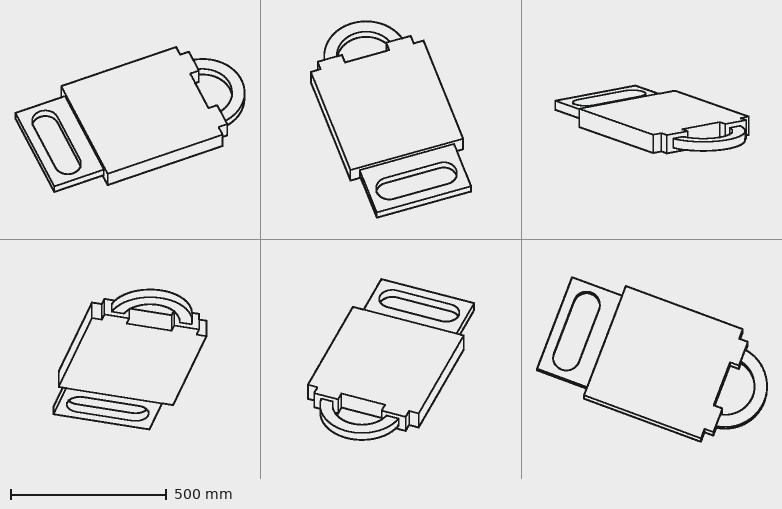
import cadquery as cq

housing_width = 382.0
housing_length = 402.0
housing_thickness = 61.0
ear_length = 30.0
ear_inner_x = 75.0
ear_outer_x = 158.0

tongue_width = 320.0
tongue_length = 173.0
slot_length = 270.0
slot_width = 85.0
slot_margin = 33.0

overall_length = 721.0
ring_outer_radius = 135.0
ring_inner_radius = 94.5

plate_thickness = housing_thickness / 2

housing_end_y = tongue_length + housing_length
ring_center_y = overall_length - ring_outer_radius
slot_center_y = slot_margin + slot_width / 2
plate_bottom_z = -plate_thickness / 2


def block(width, length, thickness, center_x, start_y):
    """Box centred on Z = 0 that runs from start_y toward +Y."""
    return (
        cq.Workplane("XY")
        .box(width, length, thickness, centered=(True, False, True))
        .translate((center_x, start_y, 0))
    )


def make_half_ring():
    """Flat half ring on the +Y side of its centre, which lies between the ears."""
    full_ring = (
        cq.Workplane("XY", origin=(0, ring_center_y, plate_bottom_z))
        .circle(ring_outer_radius)
        .circle(ring_inner_radius)
        .extrude(plate_thickness)
    )
    kept_half = block(2 * ring_outer_radius, ring_outer_radius, plate_thickness, 0, ring_center_y)
    return full_ring.intersect(kept_half)


def make_housing():
    """Block with two ears joined by the half ring."""
    body = block(housing_width, housing_length, housing_thickness, 0, tongue_length)

    ear_width = ear_outer_x - ear_inner_x
    ear_center_x = (ear_outer_x + ear_inner_x) / 2
    for side in (-1, 1):
        ear = block(ear_width, ear_length, housing_thickness, side * ear_center_x, housing_end_y)
        body = body.union(ear)

    return body.union(make_half_ring())


def make_tongue():
    """Plate with a round-ended slot through it."""
    slot = (
        cq.Workplane("XY", origin=(0, slot_center_y, plate_bottom_z))
        .slot2D(slot_length, slot_width)
        .extrude(plate_thickness)
    )
    return block(tongue_width, tongue_length, plate_thickness, 0, 0).cut(slot)


housing = make_housing()
tongue = make_tongue()

result = cq.Compound.makeCompound([housing.val(), tongue.val()])